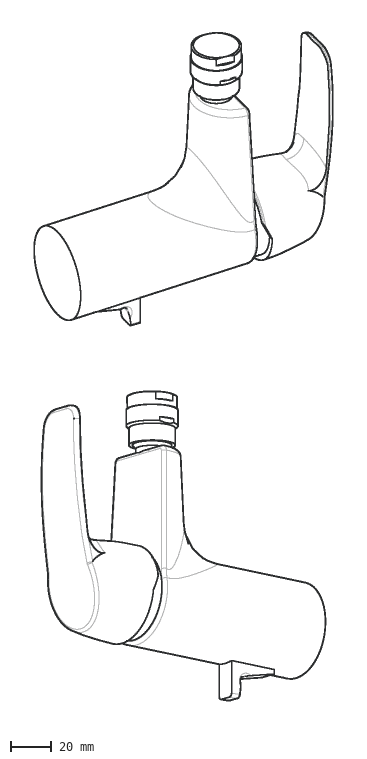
import cadquery as cq
import math

AXIS_TILT = 1.83
STOCK = 293.7
OVERLAP = 14.7

BODY_RADIUS = 24.1
BODY_LENGTH = 99.6
BODY_RIM_ROUND = 1.8
NECK_RADIUS = 22.0
NECK_END = 111.6

COLUMN_CENTRE_Y = 96.3
COLUMN_TOP_Z = 77.0
COLUMN_TOP_RADIUS = 20.0
COLUMN_TAPER = 2.5
COLUMN_BLEND_RADIUS = 23.5
COLUMN_TOP_ROUND = 3.0

HEAD_SECTIONS = [
    (103.1, 24.5, 25.0),
    (120.5, 23.8, 24.4),
    (133.7, 20.5, 22.8),
    (148.3, 15.4, 19.8),
]
HEAD_STEP_DEPTH = 3.7
HEAD_STEP_TOP_Z = 6.6
HEAD_STEP_BOTTOM_Z = -2.2
HEAD_RIM_ROUND = 0.6

ARM_SECTIONS = [
    (5.9, 18.2, 138.8, 135.1),
    (39.7, 16.2, 142.5, 137.3),
    (58.7, 15.3, 144.0, 138.5),
    (76.4, 14.2, 144.0, 139.5),
    (88.1, 13.5, 143.8, 140.7),
    (92.5, 13.2, 144.1, 142.5),
]
ARM_TIP_CORNER = 8.8
ARM_BLEND_RADIUS = 8.8

LEVER_BACK = [(132.6, -19.1), (140.7, 10.6), (145.1, 38.2), (146.9, 66.8), (145.4, 95.5)]
LEVER_STOCK_Y = 152.7
LEVER_BACK_ROUND = 2.0
LEVER_HEEL = (129.2, -29.4)

NOZZLE_CENTRE_Y = 88.9
NOZZLE_TOP_Z = 105.7
CAP_RADIUS = 12.3
CAP_CHAMFER_WIDTH = 1.0
CAP_CHAMFER_HEIGHT = 0.5
CAP_BOTTOM_Z = 98.8
CAP_FLAT = 11.3
CAP_FLAT_BOTTOM_Z = 101.8
CAP_TURN = -5.5
COLLAR_RADIUS = 12.8
COLLAR_BOTTOM_Z = 90.8
COLLAR_FLAT = 12.0
COLLAR_FLAT_TOP_Z = 92.7
SLEEVE_RADIUS = 11.5
SLEEVE_TOP_Z = 89.6
SLEEVE_BOTTOM_Z = 81.0
CONE_RADIUS = 9.7
CONE_BOTTOM_Z = 79.2
STEM_RADIUS = 8.1

TAB_WIDTH = 10.1
TAB_BACK_Y = 43.6
TAB_FRONT_Y = 38.6
TAB_BOTTOM_Z = -40.2
TAB_CORNER = 1.8
TAB_FRONT_ROUND = 1.5
TAB_KNEE = (37.5, -31.9)
TAB_KNEE_MIDDLE = (36.7, -29.7)
TAB_KNEE_END = (34.4, -28.6)
TAB_TOE = (17.2, -25.3)
TAB_ROOT_Z = -17.6


def tilt(shape):
    return shape.rotate((0, 0, 0), (1, 0, 0), AXIS_TILT)


def axial_cylinder(radius, start, end):
    """Cylinder about the Y axis between two distances."""
    return cq.Workplane("XZ", origin=(0, start, 0)).circle(radius).extrude(start - end)


def box_between(low, high):
    size = [b - a for a, b in zip(low, high)]
    return cq.Workplane("XY").box(*size, centered=False).translate(low)


def loft(outlines):
    return cq.Workplane(cq.Solid.makeLoft([outline.val() for outline in outlines]))


def make_body():
    foot_radius = COLUMN_TOP_RADIUS + COLUMN_TOP_Z * math.tan(math.radians(COLUMN_TAPER))
    column = (
        cq.Workplane("XZ")
        .polyline([(0, 0), (foot_radius, 0), (COLUMN_TOP_RADIUS, COLUMN_TOP_Z), (0, COLUMN_TOP_Z)])
        .close()
        .revolve(360, (0, 0), (0, 1))
        .translate((0, COLUMN_CENTRE_Y, 0))
    )
    barrel = tilt(axial_cylinder(BODY_RADIUS, -OVERLAP, BODY_LENGTH + OVERLAP))
    before_end = box_between((-STOCK, -STOCK, -STOCK), (STOCK, 0, STOCK))
    behind_rim = tilt(box_between((-STOCK, BODY_LENGTH, -STOCK), (STOCK, STOCK, STOCK)))
    body = barrel.union(column).cut(before_end).cut(behind_rim)

    crotch = cq.selectors.BoxSelector((-1.5, OVERLAP, 0), (1.5, COLUMN_CENTRE_Y, COLUMN_TOP_Z / 2))
    body = body.edges(crotch).fillet(COLUMN_BLEND_RADIUS)
    body = body.faces(">Z").edges("<Y").fillet(COLUMN_TOP_ROUND)
    return body.faces(">Y").edges().fillet(BODY_RIM_ROUND)


def make_head():
    sections = [
        cq.Workplane("XZ", origin=(0, y, 0)).ellipse(half_width, half_height)
        for y, half_width, half_height in HEAD_SECTIONS
    ]
    front_y = HEAD_SECTIONS[0][0]
    step_y = front_y + HEAD_STEP_DEPTH
    below = -STOCK
    step = (
        cq.Workplane("YZ", origin=(-STOCK, 0, 0))
        .moveTo(front_y, HEAD_STEP_TOP_Z)
        .lineTo(step_y, HEAD_STEP_BOTTOM_Z)
        .lineTo(step_y, below)
        .lineTo(front_y - OVERLAP, below)
        .lineTo(front_y - OVERLAP, HEAD_STEP_TOP_Z)
        .close()
        .extrude(2 * STOCK)
    )
    return tilt(loft(sections).cut(step))


def make_arm():
    """Slab with a bulged front face and a rounded tip, running on past the lever's back."""
    sections = [
        cq.Workplane("XY", origin=(0, 0, z))
        .moveTo(-half_width, edge_y)
        .threePointArc((0, front_y), (half_width, edge_y))
        .lineTo(half_width, LEVER_STOCK_Y)
        .lineTo(-half_width, LEVER_STOCK_Y)
        .close()
        for z, half_width, edge_y, front_y in ARM_SECTIONS
    ]
    return loft(sections).faces(">Z").edges(">X or <X").fillet(ARM_TIP_CORNER)


def make_lever():
    front_y = HEAD_SECTIONS[0][0] - OVERLAP
    top_z = LEVER_BACK[-1][1]
    side = (
        cq.Workplane("YZ", origin=(-STOCK, 0, 0))
        .moveTo(front_y, LEVER_HEEL[1])
        .lineTo(*LEVER_HEEL)
        .lineTo(*LEVER_BACK[0])
        .spline(LEVER_BACK[1:], includeCurrent=True)
        .lineTo(front_y, top_z)
        .close()
        .extrude(2 * STOCK)
    )
    lever = make_head().union(make_arm()).intersect(side)

    arm_foot_y = ARM_SECTIONS[0][3]
    crease = cq.selectors.BoxSelector((-14.7, arm_foot_y - 1.5, 16.2), (14.7, arm_foot_y + 7.3, 26.5))
    lever = lever.edges(crease).fillet(ARM_BLEND_RADIUS)
    back_face = cq.selectors.NearestToPointSelector((0, *LEVER_BACK[2]))
    lever = lever.faces(back_face).edges().fillet(LEVER_BACK_ROUND)
    return lever.faces("<Y").edges("not(<Z)").fillet(HEAD_RIM_ROUND)


def make_nozzle():
    root_z = COLUMN_TOP_Z - OVERLAP
    profile = [
        (0, NOZZLE_TOP_Z),
        (CAP_RADIUS - CAP_CHAMFER_WIDTH, NOZZLE_TOP_Z),
        (CAP_RADIUS, NOZZLE_TOP_Z - CAP_CHAMFER_HEIGHT),
        (CAP_RADIUS, CAP_BOTTOM_Z),
        (COLLAR_RADIUS, CAP_BOTTOM_Z),
        (COLLAR_RADIUS, COLLAR_BOTTOM_Z),
        (SLEEVE_RADIUS, SLEEVE_TOP_Z),
        (SLEEVE_RADIUS, SLEEVE_BOTTOM_Z),
        (CONE_RADIUS, SLEEVE_BOTTOM_Z),
        (STEM_RADIUS, CONE_BOTTOM_Z),
        (STEM_RADIUS, root_z),
        (0, root_z),
    ]
    nozzle = cq.Workplane("XZ").polyline(profile).close().revolve(360, (0, 0), (0, 1))
    reach = 2 * COLLAR_RADIUS
    cap_flat = box_between((CAP_FLAT, -reach, CAP_FLAT_BOTTOM_Z), (reach, reach, NOZZLE_TOP_Z))
    collar_flat = box_between((COLLAR_FLAT, -reach, SLEEVE_TOP_Z), (reach, reach, COLLAR_FLAT_TOP_Z))
    for turn in (0, 180):
        nozzle = nozzle.cut(cap_flat.rotate((0, 0, 0), (0, 0, 1), turn + CAP_TURN))
        nozzle = nozzle.cut(collar_flat.rotate((0, 0, 0), (0, 0, 1), turn))
    return nozzle.translate((0, NOZZLE_CENTRE_Y, 0))


def make_tab():
    tab = (
        cq.Workplane("YZ", origin=(-TAB_WIDTH / 2, 0, 0))
        .moveTo(TAB_BACK_Y, TAB_ROOT_Z)
        .lineTo(TAB_BACK_Y, TAB_BOTTOM_Z)
        .lineTo(TAB_FRONT_Y, TAB_BOTTOM_Z)
        .lineTo(*TAB_KNEE)
        .threePointArc(TAB_KNEE_MIDDLE, TAB_KNEE_END)
        .lineTo(*TAB_TOE)
        .lineTo(TAB_TOE[0], TAB_ROOT_Z)
        .close()
        .extrude(TAB_WIDTH)
    )
    tab = tab.faces("<Z").edges("|Y").fillet(TAB_CORNER)
    upright_front = cq.selectors.NearestToPointSelector((0, *TAB_KNEE))
    return tab.faces(upright_front).edges("not |X").fillet(TAB_FRONT_ROUND)


neck = tilt(axial_cylinder(NECK_RADIUS, BODY_LENGTH - OVERLAP, NECK_END))
result = make_body().union(neck).union(make_lever()).union(make_nozzle()).union(make_tab())